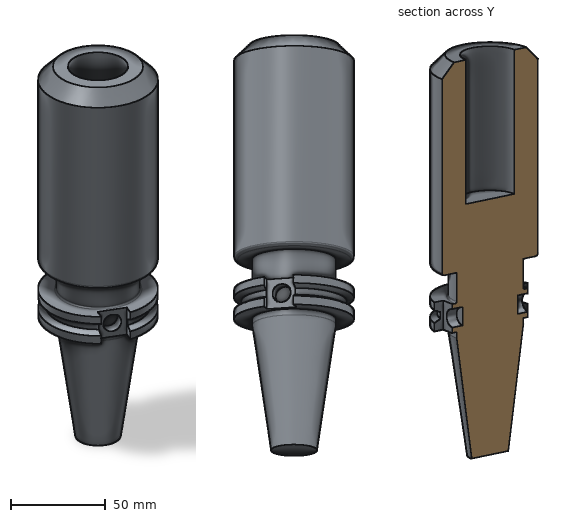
import cadquery as cq

total_height = 220.6
gauge_height = 68.5
flange_bottom = 71.5
flange_top = 87.5
groove_height = 79.7
head_bottom = 104.1

head_diameter = 63.5
neck_diameter = 44.4
groove_diameter = 55.8
taper_ratio = 7 / 24

groove_floor_width = 3.5
groove_mouth_width = 7.0

head_chamfer = 8.0
head_edge_radius = 1.8
neck_fillet = 0.9

bore_diameter = 31.8
bore_depth = 79.5

slot_width = 16.0
slot_floor_distance = 25.0
slot_hole_diameter = 10.0
slot_hole_depth = 6.6

head_radius = head_diameter / 2
neck_radius = neck_diameter / 2
small_end_radius = (neck_diameter - gauge_height * taper_ratio) / 2


def turned_body():
    """Revolve the taper, flange, neck and head about Z."""
    groove_radius = groove_diameter / 2
    half_floor = groove_floor_width / 2
    half_mouth = groove_mouth_width / 2
    outline = (
        cq.Workplane("XZ")
        .lineTo(small_end_radius, 0)
        .lineTo(neck_radius, gauge_height)
        .lineTo(neck_radius, flange_bottom)
        .lineTo(head_radius, flange_bottom)
        .lineTo(head_radius, groove_height - half_mouth)
        .lineTo(groove_radius, groove_height - half_floor)
        .lineTo(groove_radius, groove_height + half_floor)
        .lineTo(head_radius, groove_height + half_mouth)
        .lineTo(head_radius, flange_top)
        .lineTo(neck_radius + neck_fillet, flange_top)
        .radiusArc((neck_radius, flange_top + neck_fillet), neck_fillet)
        .lineTo(neck_radius, head_bottom)
        .lineTo(head_radius - head_edge_radius, head_bottom)
        .radiusArc((head_radius, head_bottom + head_edge_radius), -head_edge_radius)
        .lineTo(head_radius, total_height - head_chamfer)
        .lineTo(head_radius - head_chamfer, total_height)
        .lineTo(0, total_height)
        .close()
    )
    return outline.revolve(360, (0, 0, 0), (0, 1, 0))


def tool_bore():
    """Blind bore from the top face."""
    return (
        cq.Workplane("XY", origin=(0, 0, total_height - bore_depth))
        .circle(bore_diameter / 2)
        .extrude(bore_depth)
    )


def drive_slot(side):
    """Slot through the flange with a blind hole in its floor; side is -1 or 1 along X."""
    slot_depth = head_radius - slot_floor_distance
    slot = (
        cq.Workplane("YZ", origin=(side * slot_floor_distance, 0, (flange_bottom + flange_top) / 2))
        .rect(slot_width, flange_top - flange_bottom)
        .extrude(side * slot_depth)
    )
    hole = (
        cq.Workplane("YZ", origin=(side * slot_floor_distance, 0, groove_height))
        .circle(slot_hole_diameter / 2)
        .extrude(-side * slot_hole_depth)
    )
    return slot.union(hole)


result = turned_body().cut(tool_bore())
for side in (-1, 1):
    result = result.cut(drive_slot(side))